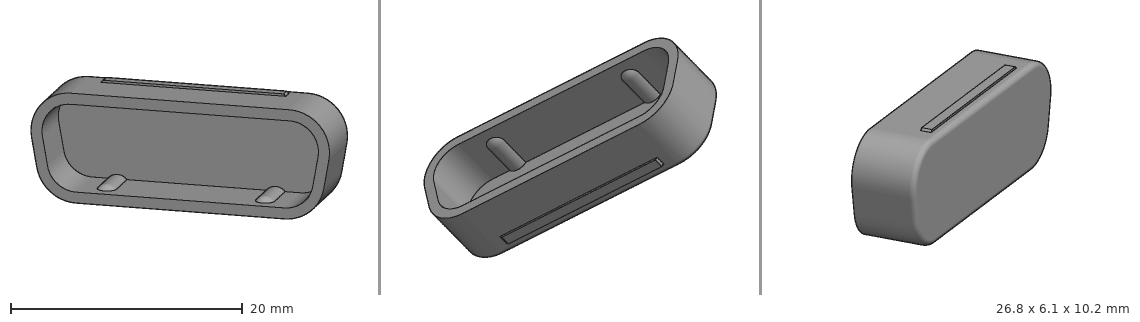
import cadquery as cq
import math

length = 26.8
depth = 6.1
height = 9.8
corner_radius = 3.6
side_slope = math.radians(10)
wall = 1.0
back_wall = 1.0
back_fillet = 0.5

ridge_length = 16.6
ridge_width = 1.0
ridge_height = 0.2
ridge_back_gap = 1.0

rib_radius = 1.1
rib_rise = 0.4
rib_spacing = 14.2
rib_front_gap = 1.88

back_y = depth / 2
front_y = -depth / 2
overlap = 0.13


def outline_prism(inset, start_y, end_y):
    """Rounded trapezoid, inset from the outer outline, extruded along Y."""
    radius = corner_radius - inset
    upper_z = height / 2 - corner_radius
    lower_z = -upper_z
    upper_x = length / 2 - corner_radius
    lower_x = upper_x - (upper_z - lower_z) * math.tan(side_slope)
    top_z = upper_z + radius
    bottom_z = lower_z - radius

    def on_arc(center_x, center_z, angle, side):
        return (side * (center_x + radius * math.cos(angle)), center_z + radius * math.sin(angle))

    upper_mid = (math.pi / 2 - side_slope) / 2
    lower_mid = -(math.pi / 2 + side_slope) / 2
    profile = (
        cq.Workplane("XZ", origin=(0, start_y, 0))
        .moveTo(-upper_x, top_z)
        .lineTo(upper_x, top_z)
        .threePointArc(on_arc(upper_x, upper_z, upper_mid, 1), on_arc(upper_x, upper_z, -side_slope, 1))
        .lineTo(*on_arc(lower_x, lower_z, -side_slope, 1))
        .threePointArc(on_arc(lower_x, lower_z, lower_mid, 1), (lower_x, bottom_z))
        .lineTo(-lower_x, bottom_z)
        .threePointArc(on_arc(lower_x, lower_z, lower_mid, -1), on_arc(lower_x, lower_z, -side_slope, -1))
        .lineTo(*on_arc(upper_x, upper_z, -side_slope, -1))
        .threePointArc(on_arc(upper_x, upper_z, upper_mid, -1), (-upper_x, top_z))
        .close()
    )
    return profile.extrude(start_y - end_y)


def snap_ridge(side):
    """Ridge with 45 degree ends; side is +1 for the top face, -1 for the bottom."""
    face_z = side * height / 2
    half_base = ridge_length / 2
    half_crest = half_base - ridge_height
    return (
        cq.Workplane("XZ", origin=(0, back_y - ridge_back_gap, 0))
        .polyline([
            (-half_base, face_z - side * overlap),
            (-half_base, face_z),
            (-half_crest, face_z + side * ridge_height),
            (half_crest, face_z + side * ridge_height),
            (half_base, face_z),
            (half_base, face_z - side * overlap),
        ])
        .close()
        .extrude(ridge_width)
    )


def rib(x, side):
    """Rib along Y with a spherical front end, partly sunk into the wall."""
    center_z = side * (height / 2 - wall - rib_rise + rib_radius)
    end_y = front_y + rib_front_gap
    root_y = back_y - back_wall + overlap
    bar = cq.Workplane("XZ", origin=(x, root_y, center_z)).circle(rib_radius).extrude(root_y - end_y)
    dome = cq.Workplane("XY", origin=(x, end_y, center_z)).sphere(rib_radius)
    return bar.union(dome)


body = outline_prism(0, front_y, back_y).faces(">Y").edges().fillet(back_fillet)
cavity = outline_prism(wall, front_y, back_y - back_wall)
result = body.cut(cavity)

for side in (1, -1):
    result = result.union(snap_ridge(side))
    for x in (-rib_spacing / 2, rib_spacing / 2):
        result = result.union(rib(x, side).intersect(cavity))